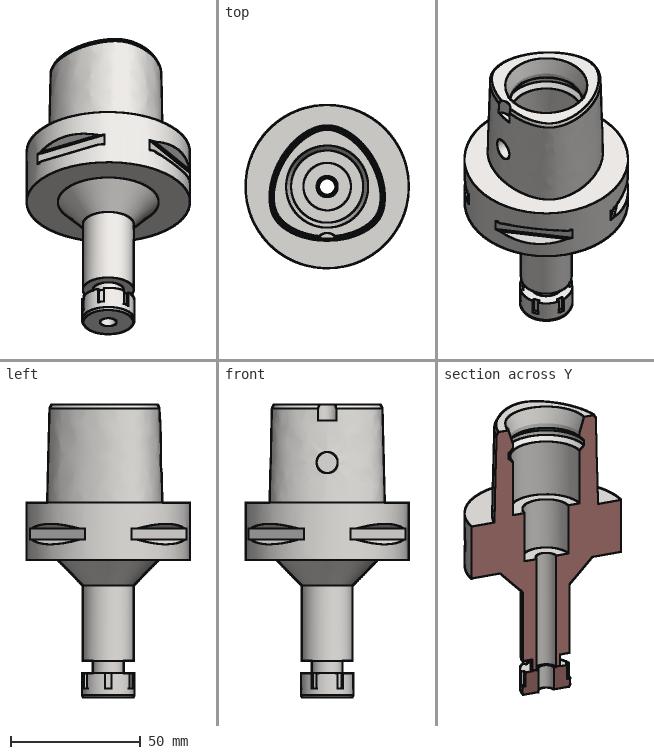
import cadquery as cq
import math

total_height = 113.0
flange_top = 75.1
flange_bottom = 53.0
cone_bottom = 43.2
shank_bottom = 14.2
nut_top = 9.5

flange_radius = 31.5
cone_top_radius = 19.4
shank_radius = 9.8
neck_radius = 6.0

polygon_radius = 22.3
lobe_height = 1.4
taper = 1 / 40
rim_chamfer_height = 1.5
rim_chamfer_width = 0.8
outline_points = 48

mouth_radius = 15.8
mouth_depth = 6.3
bore_radius = 13.9
groove_radius = 15.8
groove_start = 8.1
groove_end = 13.9
bore_depth = 36.2
screw_bore_depth = 56.5
screw_bore_radius = 9.2
coolant_radius = 4.1

side_hole_radius = 4.1
side_hole_height = 90.6
side_hole_end_y = -14.2
notch_radius = 4.2
notch_inner_y = -17.9
notch_depth = 6.2

groove_count = 4
first_groove_angle = 45
gripper_floor_distance = 27.7
gripper_wall_depth = 1.0
gripper_floor_width = 4.2
gripper_mouth_width = 7.9
gripper_height = 63.0

nut_radius = 10.2
nut_bore_radius = 3.2
nut_chamfer_width = 0.6
nut_chamfer_height = 1.0
spanner_slot_count = 6
spanner_slot_width = 2.4
spanner_slot_depth = 1.4
spanner_slot_height = 5.9


def lobe_point(mean_radius, angle):
    """Point on a constant-width outline whose lobes face +Y and the two directions 120 degrees away."""
    support = mean_radius - lobe_height * math.sin(3 * angle)
    slope = -3 * lobe_height * math.cos(3 * angle)
    x = support * math.cos(angle) - slope * math.sin(angle)
    y = support * math.sin(angle) + slope * math.cos(angle)
    return x, y


def polygon_wire(mean_radius, height):
    points = []
    for i in range(outline_points):
        angle = -math.pi / 2 + 2 * math.pi * i / outline_points
        points.append(cq.Vector(*lobe_point(mean_radius, angle), height))
    edge = cq.Edge.makeSpline(points, periodic=True)
    return cq.Wire.assembleEdges([edge])


def polygon_section(lower_radius, lower_height, upper_radius, upper_height):
    lower = polygon_wire(lower_radius, lower_height)
    upper = polygon_wire(upper_radius, upper_height)
    return cq.Workplane(cq.Solid.makeLoft([lower, upper], True))


def make_polygon():
    chamfer_start = total_height - rim_chamfer_height
    chamfer_radius = polygon_radius - taper * (chamfer_start - flange_top)
    body = polygon_section(polygon_radius, flange_top, chamfer_radius, chamfer_start)
    rim = polygon_section(chamfer_radius, chamfer_start, chamfer_radius - rim_chamfer_width, total_height)
    return body.union(rim)


def revolve_profile(points):
    """Turn a closed (radius, height) profile about the Z axis."""
    return cq.Workplane("XZ").polyline(points).close().revolve(360, (0, 0), (0, 1))


def make_turned_outside():
    return revolve_profile([
        (0, nut_top),
        (neck_radius, nut_top),
        (neck_radius, shank_bottom),
        (shank_radius, shank_bottom),
        (shank_radius, cone_bottom),
        (cone_top_radius, flange_bottom),
        (flange_radius, flange_bottom),
        (flange_radius, flange_top),
        (0, flange_top),
    ])


def make_bores():
    groove_side = groove_radius - bore_radius
    bore_floor = total_height - bore_depth
    screw_bore_floor = total_height - screw_bore_depth
    return revolve_profile([
        (0, total_height),
        (mouth_radius, total_height),
        (bore_radius, total_height - mouth_depth),
        (bore_radius, total_height - groove_start),
        (groove_radius, total_height - groove_start - groove_side),
        (groove_radius, total_height - groove_end + groove_side),
        (bore_radius, total_height - groove_end),
        (bore_radius, bore_floor),
        (screw_bore_radius, bore_floor),
        (screw_bore_radius, screw_bore_floor),
        (coolant_radius, screw_bore_floor),
        (coolant_radius, nut_top),
        (0, nut_top),
    ])


def make_side_hole():
    """Blind hole with a flat end, stopping just short of the main bore."""
    hole = cq.Workplane("XZ", origin=(0, side_hole_end_y, side_hole_height)).circle(side_hole_radius)
    return hole.extrude(flange_radius)


def make_rim_notch():
    notch = cq.Workplane("XY", origin=(0, 0, total_height - notch_depth))
    notch = notch.center(0, notch_inner_y - notch_radius).circle(notch_radius)
    return notch.extrude(notch_depth)


def make_gripper_groove(angle):
    """Straight groove with a flat floor and sides that start straight and then flare open."""
    half_floor = gripper_floor_width / 2
    half_mouth = gripper_mouth_width / 2
    flare_start = gripper_floor_distance + gripper_wall_depth
    profile = [
        (gripper_floor_distance, gripper_height - half_floor),
        (flare_start, gripper_height - half_floor),
        (flange_radius, gripper_height - half_mouth),
        (flange_radius, gripper_height + half_mouth),
        (flare_start, gripper_height + half_floor),
        (gripper_floor_distance, gripper_height + half_floor),
    ]
    groove = cq.Workplane("XZ").polyline(profile).close().extrude(flange_radius, both=True)
    return groove.rotate((0, 0, 0), (0, 0, 1), angle)


def make_holder():
    holder = make_turned_outside().union(make_polygon())
    holder = holder.cut(make_bores())
    holder = holder.cut(make_side_hole())
    holder = holder.cut(make_rim_notch())
    for i in range(groove_count):
        holder = holder.cut(make_gripper_groove(first_groove_angle + i * 360 / groove_count))
    return holder


def make_spanner_slot(angle):
    slot = cq.Workplane("XY").box(
        nut_radius, spanner_slot_width, spanner_slot_height, centered=(False, True, False)
    )
    slot = slot.translate((nut_radius - spanner_slot_depth, 0, nut_top - spanner_slot_height))
    return slot.rotate((0, 0, 0), (0, 0, 1), angle)


def make_nut():
    nut = revolve_profile([
        (nut_bore_radius, 0),
        (nut_radius - nut_chamfer_width, 0),
        (nut_radius, nut_chamfer_height),
        (nut_radius, nut_top),
        (nut_bore_radius, nut_top),
    ])
    for i in range(spanner_slot_count):
        nut = nut.cut(make_spanner_slot(i * 360 / spanner_slot_count))
    return nut


holder = make_holder()
nut = make_nut()
result = cq.Compound.makeCompound([holder.val(), nut.val()])